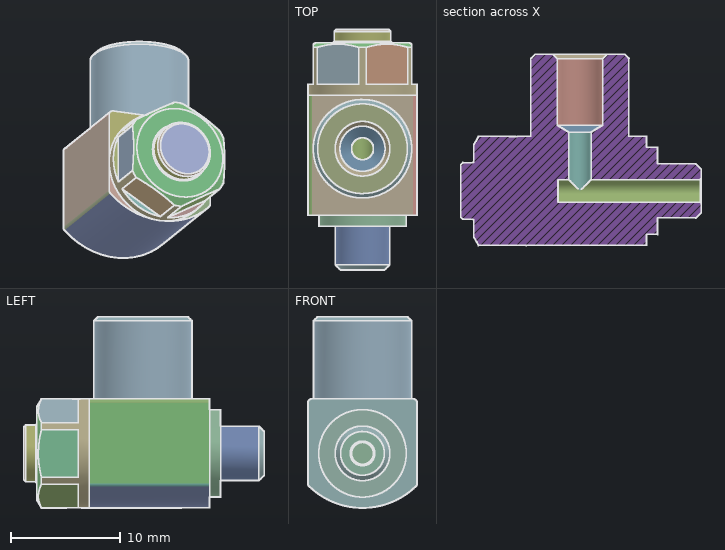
import cadquery as cq
import math


body_width = 10.0
body_length = 11.0
body_top = body_width / 2
body_bottom = -body_width / 2
arch_radius = 7.0
body_edge_fillet = 0.4

collar_diameter = 8.0
collar_length = 1.0
spigot_diameter = 5.0
spigot_length = 4.0
spigot_chamfer = 0.5

washer_diameter = 10.0
washer_length = 1.0
hex_sides = 6
hex_across_flats = 9.0
hex_length = 3.8
hex_corner_diameter = washer_diameter
hex_bevel_angle = 30.0
hex_face_diameter = 8.5
stub_diameter = 5.2
stub_length = 1.2
stub_chamfer = 0.2
stub_flare = 0.1

port_diameter = 9.0
port_height = 7.5
port_y = 6.1
port_chamfer = 0.4

port_bore_diameter = 4.13
port_bore_mouth_diameter = 5.0
port_bore_depth = 6.5
drill_point_angle = 118.0
passage_diameter = 2.0
passage_mouth_diameter = 2.25
passage_overrun = 1.0

spigot_end = -collar_length - spigot_length
washer_end = body_length + washer_length
hex_end = washer_end + hex_length
port_top = body_top + port_height


def rod(diameter, y_start, length):
    """Cylinder on the main axis, running toward +Y from y_start."""
    plane = cq.Workplane("XZ", origin=(0, y_start, 0))
    return plane.circle(diameter / 2).extrude(-length)


def make_body():
    half_width = body_width / 2
    arch_center_z = body_bottom + arch_radius
    corner_z = arch_center_z - math.sqrt(arch_radius**2 - half_width**2)
    profile = (
        cq.Workplane("XZ")
        .moveTo(-half_width, body_top)
        .lineTo(half_width, body_top)
        .lineTo(half_width, corner_z)
        .threePointArc((0, body_bottom), (-half_width, corner_z))
        .close()
    )
    return profile.extrude(-body_length).edges("|Y").fillet(body_edge_fillet)


def make_front_spigot():
    collar = rod(collar_diameter, -collar_length, collar_length)
    spigot = rod(spigot_diameter, spigot_end, spigot_length)
    return collar.union(spigot.faces("<Y").chamfer(spigot_chamfer))


def make_hex_head():
    """Hexagon with flats facing +X and -X, its corners turned down and its end bevelled."""
    half_side_angle = 180 / hex_sides
    corner_to_corner = hex_across_flats / math.cos(math.radians(half_side_angle))
    prism = (
        cq.Workplane("XZ", origin=(0, washer_end, 0))
        .transformed(rotate=(0, 0, half_side_angle))
        .polygon(hex_sides, corner_to_corner)
        .extrude(-hex_length)
    )
    corner_radius = hex_corner_diameter / 2
    face_radius = hex_face_diameter / 2
    bevel_length = (corner_radius - face_radius) * math.tan(math.radians(hex_bevel_angle))
    turned_blank = (
        cq.Workplane("XY")
        .moveTo(0, washer_end)
        .lineTo(corner_radius, washer_end)
        .lineTo(corner_radius, hex_end - bevel_length)
        .lineTo(face_radius, hex_end)
        .lineTo(0, hex_end)
        .close()
        .revolve(360, (0, 0), (0, 1))
    )
    return prism.intersect(turned_blank)


def make_stub():
    """End stub with a chamfered tip and a small conical flare at its root."""
    radius = stub_diameter / 2
    stub_end = hex_end + stub_length
    return (
        cq.Workplane("XY")
        .moveTo(0, hex_end)
        .lineTo(radius + stub_flare, hex_end)
        .lineTo(radius, hex_end + stub_flare)
        .lineTo(radius, stub_end - stub_chamfer)
        .lineTo(radius - stub_chamfer, stub_end)
        .lineTo(0, stub_end)
        .close()
        .revolve(360, (0, 0), (0, 1))
    )


def make_rear_end():
    washer = rod(washer_diameter, body_length, washer_length)
    return washer.union(make_hex_head()).union(make_stub())


def make_port():
    plane = cq.Workplane("XY", origin=(0, port_y, body_top))
    return plane.circle(port_diameter / 2).extrude(port_height).faces(">Z").chamfer(port_chamfer)


def make_port_bore():
    """Chamfered bore with a conical floor, then the passage down to the main axis."""
    mouth_radius = port_bore_mouth_diameter / 2
    bore_radius = port_bore_diameter / 2
    passage_radius = passage_diameter / 2
    bore_floor = port_top - port_bore_depth
    cone_depth = (bore_radius - passage_radius) / math.tan(math.radians(drill_point_angle / 2))
    return (
        cq.Workplane("XZ", origin=(0, port_y, 0))
        .lineTo(passage_radius, 0)
        .lineTo(passage_radius, bore_floor - cone_depth)
        .lineTo(bore_radius, bore_floor)
        .lineTo(bore_radius, port_top - (mouth_radius - bore_radius))
        .lineTo(mouth_radius, port_top)
        .lineTo(0, port_top)
        .close()
        .revolve(360, (0, 0), (0, 1))
    )


def make_main_passage():
    """Blind passage from the spigot end to just beyond the port passage."""
    mouth_radius = passage_mouth_diameter / 2
    passage_radius = passage_diameter / 2
    passage_end = port_y + passage_radius + passage_overrun
    return (
        cq.Workplane("XY")
        .moveTo(0, spigot_end)
        .lineTo(mouth_radius, spigot_end)
        .lineTo(passage_radius, spigot_end + mouth_radius - passage_radius)
        .lineTo(passage_radius, passage_end)
        .lineTo(0, passage_end)
        .close()
        .revolve(360, (0, 0), (0, 1))
    )


solid_part = make_body().union(make_front_spigot()).union(make_rear_end()).union(make_port())
result = solid_part.cut(make_port_bore()).cut(make_main_passage())